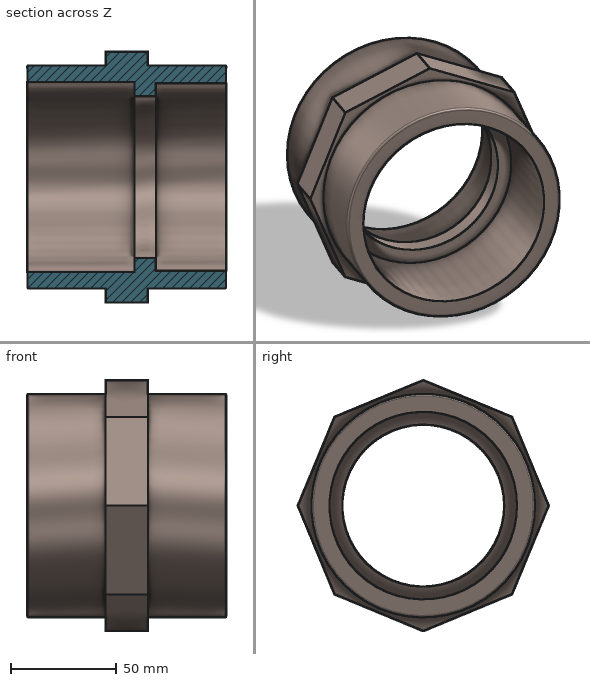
import cadquery as cq

length = 94.4
body_diameter = 106.0
octagon_across_corners = 119.0
octagon_width = 20.0
end_fillet_radius = 1.0

bore_diameter = 76.6
near_socket_diameter = 90.0
far_socket_diameter = 88.9
near_socket_depth = 50.8
far_socket_depth = 33.3


def cylinder_along_x(diameter, start, depth):
    return cq.Workplane("YZ", origin=(start, 0, 0)).circle(diameter / 2).extrude(depth)


body = cylinder_along_x(body_diameter, -length / 2, length)
body = body.faces("<X or >X").edges().fillet(end_fillet_radius)

octagon = (
    cq.Workplane("YZ", origin=(-octagon_width / 2, 0, 0))
    .polygon(8, octagon_across_corners)
    .extrude(octagon_width)
)

bore = cylinder_along_x(bore_diameter, -length / 2, length)
near_socket = cylinder_along_x(near_socket_diameter, -length / 2, near_socket_depth)
far_socket = cylinder_along_x(far_socket_diameter, length / 2 - far_socket_depth, far_socket_depth)

result = body.union(octagon).cut(bore).cut(near_socket).cut(far_socket)